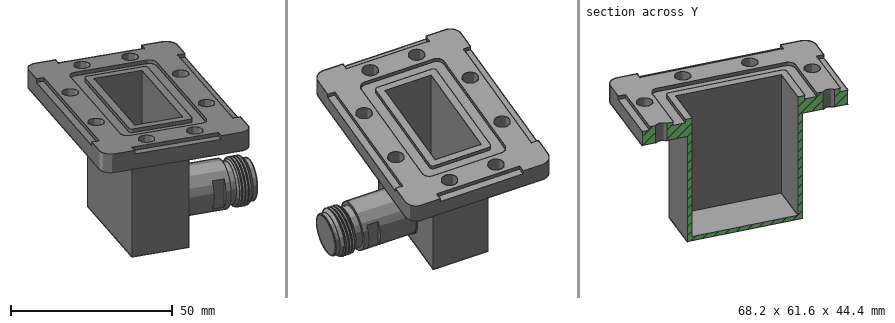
import cadquery as cq

flange_length = 68.25
flange_width = 49.3
flange_thickness = 6.4
flange_corner_radius = 3.75

relief_depth = 1.2
recess_length = 47.5
recess_width = 28.5
recess_corner_radius = 2.45
rim_length = 39.7
rim_width = 20.9
rim_corner_radius = 1.1

edge_step_width = 2.45

bolt_hole_diameter = 5.05
long_side_hole_x = 11.1
long_side_hole_y = 18.3
short_side_hole_x = 27.8
short_side_hole_y = 8.0

cavity_length = 35.0
cavity_width = 15.8
floor_thickness = 1.65

overall_height = 44.4
tube_length = 38.3
tube_width = 18.9
tube_offset_y = -0.1

connector_axis_z = -34.5
connector_end_y = 61.6 - flange_width / 2
washer_diameter = 16.65
washer_thickness = 0.4
body_diameter = 16.0
body_length = 18.3
flats_start = 12.7
flats_length = 3.9
across_flats = 12.7
barrel_diameter = 13.7
barrel_chamfer = 0.3

thread_start = 20.5
thread_length = 5.5
thread_major_diameter = 15.8
thread_minor_diameter = 14.75
groove_start = 20.35
groove_length = 4.8
groove_turns = 4.5
thread_pitch = groove_length / groove_turns
groove_clearance = 0.1
groove_mouth_ratio = 0.9
collar_seam_angle = 100

tube_face_y = tube_offset_y + tube_width / 2


def block(length, width, top_z, bottom_z):
    """Rectangular block centred on the Z axis between two heights."""
    height = top_z - bottom_z
    return cq.Workplane("XY").workplane(offset=bottom_z).rect(length, width).extrude(height)


def mirrored_points(x, y):
    return [(sx * x, sy * y) for sx in (-1, 1) for sy in (-1, 1)]


def make_flange():
    plate = block(flange_length, flange_width, 0, -flange_thickness)
    plate = plate.edges("|Z").fillet(flange_corner_radius)
    recess = block(recess_length, recess_width, 0, -relief_depth)
    recess = recess.edges("|Z").fillet(recess_corner_radius)
    rim = block(rim_length, rim_width, 0, -relief_depth)
    rim = rim.edges("|Z").fillet(rim_corner_radius)
    plate = plate.cut(recess.cut(rim))

    long_step = block(recess_length, 2 * edge_step_width, 0, -relief_depth)
    short_step = block(2 * edge_step_width, recess_width, 0, -relief_depth)
    for side in (-1, 1):
        plate = plate.cut(long_step.translate((0, side * flange_width / 2, 0)))
        plate = plate.cut(short_step.translate((side * flange_length / 2, 0, 0)))

    hole_points = mirrored_points(long_side_hole_x, long_side_hole_y)
    hole_points += mirrored_points(short_side_hole_x, short_side_hole_y)
    holes = (
        cq.Workplane("XY")
        .pushPoints(hole_points)
        .circle(bolt_hole_diameter / 2)
        .extrude(-flange_thickness)
    )
    return plate.cut(holes)


def cylinder(diameter, start, length):
    """Connector cylinder along +Z, measured from the tube face."""
    return cq.Workplane("XY").workplane(offset=start).circle(diameter / 2).extrude(length)


def make_thread():
    collar = cylinder(thread_major_diameter, thread_start, thread_length)
    collar = collar.faces("<Z or >Z").chamfer((thread_major_diameter - barrel_diameter) / 2)
    collar = collar.rotate((0, 0, 0), (0, 0, 1), collar_seam_angle)

    root_radius = thread_minor_diameter / 2
    crest_radius = thread_major_diameter / 2
    mouth_radius = crest_radius + groove_clearance
    half_mouth = groove_mouth_ratio * thread_pitch / 2
    helix = cq.Wire.makeHelix(thread_pitch, groove_length, root_radius)
    groove = (
        cq.Workplane("XZ")
        .polyline([(mouth_radius, -half_mouth), (root_radius, 0), (mouth_radius, half_mouth)])
        .close()
        .sweep(cq.Workplane(obj=helix), isFrenet=True)
        .translate((0, 0, groove_start))
    )
    return collar.cut(groove)


def make_connector():
    connector_length = connector_end_y - tube_face_y
    body = cylinder(body_diameter, 0, body_length)
    flats_zone = cylinder(2 * body_diameter, flats_start, flats_length)
    between_flats = block(across_flats, 2 * body_diameter, flats_start + flats_length, flats_start)
    body = body.cut(flats_zone.cut(between_flats))

    washer = cylinder(washer_diameter, 0, washer_thickness)
    barrel = cylinder(barrel_diameter, body_length, connector_length - body_length)
    barrel = barrel.faces(">Z").chamfer(barrel_chamfer)
    connector = body.union(washer).union(barrel).union(make_thread())
    connector = connector.rotate((0, 0, 0), (1, 0, 0), -90)
    return connector.translate((0, tube_face_y, connector_axis_z))


tube = block(tube_length, tube_width, -flange_thickness, -overall_height)
tube = tube.translate((0, tube_offset_y, 0))
cavity = block(cavity_length, cavity_width, 0, floor_thickness - overall_height)

result = make_flange().union(tube).cut(cavity).union(make_connector())